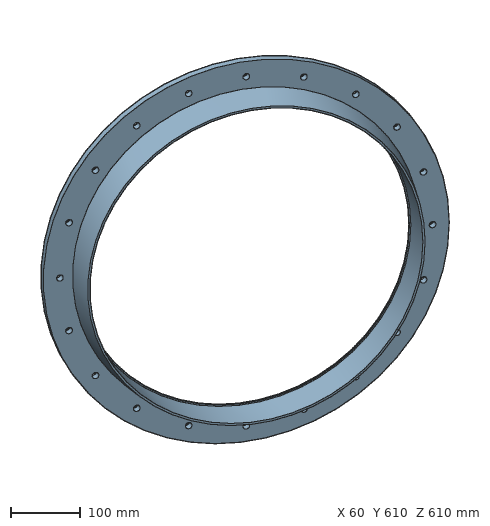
import cadquery as cq

flange_diameter = 610.0
flange_thickness = 12.0
overall_length = 60.0
lip_bore_diameter = 496.0
lip_length = 3.0
bore_diameter = 500.0
collar_base_diameter = 522.0
collar_end_diameter = 507.0
bolt_count = 20
bolt_hole_diameter = 10.0
bolt_circle_diameter = 560.0


def make_ring():
    """Flange and tapered collar with a narrow lip at the bore entry, revolved about X."""
    lip_radius = lip_bore_diameter / 2
    bore_radius = bore_diameter / 2
    flange_radius = flange_diameter / 2
    profile = (
        cq.Workplane("XY")
        .moveTo(0, lip_radius)
        .lineTo(0, flange_radius)
        .lineTo(flange_thickness, flange_radius)
        .lineTo(flange_thickness, collar_base_diameter / 2)
        .lineTo(overall_length, collar_end_diameter / 2)
        .lineTo(overall_length, bore_radius)
        .lineTo(lip_length, bore_radius)
        .lineTo(lip_length, lip_radius)
        .close()
    )
    return profile.revolve(360, (0, 0, 0), (1, 0, 0))


def make_bolt_holes():
    """Evenly spaced through holes in the flange, the first on the Y axis."""
    return (
        cq.Workplane("YZ")
        .polarArray(bolt_circle_diameter / 2, 0, 360, bolt_count)
        .circle(bolt_hole_diameter / 2)
        .extrude(flange_thickness)
    )


result = make_ring().cut(make_bolt_holes())